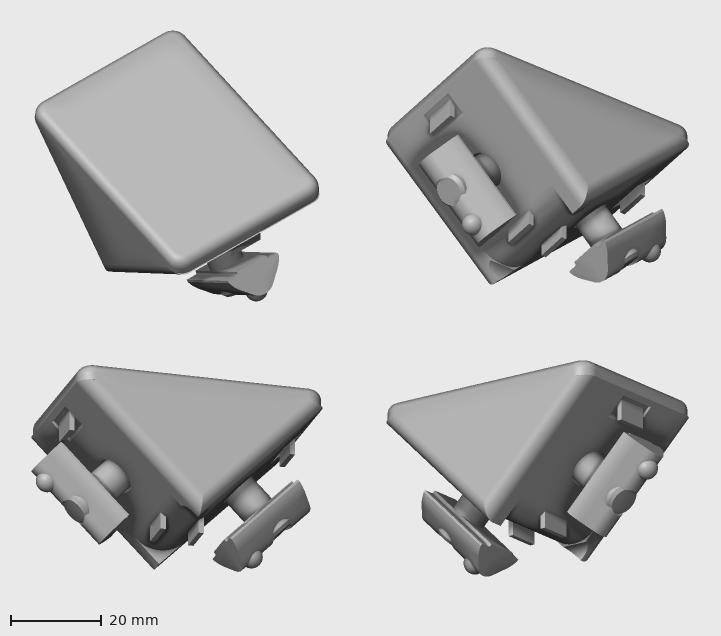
import cadquery as cq
import math

leg_length = 40.0
bracket_width = 40.0
half_span = leg_length / math.sqrt(2)
apex_half_width = 19.75
edge_radius = 3.0

apex_radius = 7.9
rib_inner_y = 13.7
relief_radius = 2.4
relief_center_z = -27.6

lug_width = 8.0
lug_thickness = 1.2
outer_lug_x = 25.35
outer_lug_bottom = -6.1
inner_lug_x = 4.35
inner_lug_bottom = -27.05
lug_root = 2.0

recess_width = 10.1
recess_x_inner = 23.1
recess_x_outer = 27.2
recess_depth_z = 0.9

cap_length = 56.0
cap_height = 4.0
cap_corner_radius = 3.5
cap_edge_radius = 2.2

screw_diameter = 8.0
screw_depth = screw_diameter
clearance_diameter = 9.0
screw_chamfer = 0.75
screw_end = 13.35

nut_end_near = 9.0
nut_end_far = 13.0
nut_crest = 14.035
nut_crest_radius = 3.75
nut_half_width = 6.75
nut_flank_half_width = 5.07
nut_side_end = 7.95
nut_shoulder = 7.4
nut_ridge_top = 6.6
nut_ridge_half_width = 4.0
nut_ridge_root_radius = 0.4

ball_diameter = 5.0
ball_offset = 9.0
ball_depth = 13.2

left_leg = cq.Plane(
    origin=(-half_span / 2, 0, -half_span / 2),
    xDir=(1, 0, -1),
    normal=(-1, 0, -1),
)
right_leg = cq.Plane(
    origin=(half_span / 2, 0, -half_span / 2),
    xDir=(1, 0, 1),
    normal=(1, 0, -1),
)
leg_frames = [left_leg, right_leg]


def make_cap():
    """Flat lid with rounded corners and a rounded upper edge."""
    lid = cq.Workplane("XY").rect(cap_length, bracket_width).extrude(cap_height)
    return lid.edges("|Z").fillet(cap_corner_radius).faces(">Z").edges().fillet(cap_edge_radius)


def make_wedge():
    """Triangular block with slightly drafted sides and rounded leg edges."""
    triangle = (
        cq.Workplane("XZ")
        .polyline([(-half_span, 0), (half_span, 0), (0, -half_span)])
        .close()
        .extrude(bracket_width / 2, both=True)
    )
    drafted_sides = (
        cq.Workplane("YZ")
        .polyline(
            [
                (-bracket_width / 2, 0),
                (bracket_width / 2, 0),
                (apex_half_width, -half_span),
                (-apex_half_width, -half_span),
            ]
        )
        .close()
        .extrude(half_span, both=True)
    )
    wedge = triangle.intersect(drafted_sides)
    side_edges = wedge.faces("<Y or >Y").edges("not(|X)")
    return wedge.newObject(side_edges.vals()).fillet(edge_radius)


def make_apex_cut():
    """Space to remove so that the apex is round between the ribs."""
    axis_z = apex_radius * math.sqrt(2) - half_span
    half_chord = apex_radius / math.sqrt(2)
    block = (
        cq.Workplane("XY")
        .workplane(offset=axis_z - half_chord)
        .rect(2 * half_chord, 2 * rib_inner_y)
        .extrude(-half_span)
    )
    roller = cq.Workplane("XZ").center(0, axis_z).circle(apex_radius).extrude(bracket_width, both=True)
    relief = (
        cq.Workplane("YZ")
        .center(rib_inner_y, relief_center_z)
        .circle(relief_radius)
        .extrude(half_span, both=True)
    )
    return block.cut(roller).union(relief)


def make_recess(side):
    """Pocket around an outer lug: vertical walls, floor parallel to the leg."""
    profile = [
        (side * recess_x_inner, recess_x_inner - half_span + recess_depth_z),
        (side * recess_x_outer, recess_x_outer - half_span + recess_depth_z),
        (side * recess_x_outer, -half_span),
        (side * recess_x_inner, -half_span),
    ]
    return cq.Workplane("XZ").polyline(profile).close().extrude(recess_width / 2, both=True)


def make_lug(x, bottom):
    """Thin upright plate from inside the leg down to its lower end."""
    top = abs(x) - half_span + lug_root
    return (
        cq.Workplane("XY")
        .workplane(offset=bottom)
        .center(x, 0)
        .rect(lug_thickness, lug_width)
        .extrude(top - bottom)
    )


def make_screw(frame):
    """Plain shank that starts inside the leg and ends in a chamfer inside the nut."""
    return (
        cq.Workplane(frame)
        .workplane(offset=-screw_depth)
        .circle(screw_diameter / 2)
        .extrude(screw_depth + screw_end)
        .faces(cq.selectors.DirectionMinMaxSelector(frame.zDir, True))
        .chamfer(screw_chamfer)
    )


def make_ball(frame):
    """Spring ball that stands out of the crest of the nut."""
    center = frame.toWorldCoords((ball_offset, 0, ball_depth))
    return cq.Workplane("XY").sphere(ball_diameter / 2).translate(center)


def make_nut(frame, screw, ball):
    """T-slot nut: ridge, straight shoulder, curved sides, 45 degree flanks and a round crest."""
    half_chord = nut_crest_radius / math.sqrt(2)
    crest_edge = nut_crest - nut_crest_radius + half_chord
    flank_start = crest_edge - (nut_flank_half_width - half_chord)
    section_plane = cq.Plane(
        origin=frame.toWorldCoords((-nut_end_near, 0, 0)),
        xDir=frame.yDir,
        normal=frame.xDir,
    )
    half_crest_angle = math.radians(45 / 2)
    crest_arc_middle = (
        nut_crest_radius * math.sin(half_crest_angle),
        nut_crest - nut_crest_radius + nut_crest_radius * math.cos(half_crest_angle),
    )
    body = (
        cq.Workplane(section_plane)
        .moveTo(0, nut_crest)
        .threePointArc(crest_arc_middle, (half_chord, crest_edge))
        .lineTo(nut_flank_half_width, flank_start)
        .tangentArcPoint((nut_half_width, nut_side_end), relative=False)
        .lineTo(nut_half_width, nut_shoulder)
        .lineTo(nut_ridge_half_width + nut_ridge_root_radius, nut_shoulder)
        .tangentArcPoint((-nut_ridge_root_radius, -nut_ridge_root_radius))
        .lineTo(nut_ridge_half_width, nut_ridge_top)
        .lineTo(0, nut_ridge_top)
        .mirrorY()
        .extrude(nut_end_near + nut_end_far)
    )
    core_diameter = screw_diameter - 2 * screw_chamfer
    hole = cq.Workplane(frame).circle(core_diameter / 2).extrude(2 * nut_crest)
    return body.cut(hole).cut(screw).cut(ball)


def make_bracket():
    """Wedge with round apex, recesses, lugs and a clearance hole for each screw."""
    body = make_wedge().cut(make_apex_cut())
    for side in (-1, 1):
        body = body.cut(make_recess(side))
        body = body.union(make_lug(side * outer_lug_x, outer_lug_bottom))
        body = body.union(make_lug(side * inner_lug_x, inner_lug_bottom))
    for frame in leg_frames:
        hole = cq.Workplane(frame).circle(clearance_diameter / 2).extrude(-screw_depth)
        body = body.cut(hole)
    return body


cap = make_cap()
screws = [make_screw(frame) for frame in leg_frames]
balls = [make_ball(frame) for frame in leg_frames]
nuts = [make_nut(frame, screw, ball) for frame, screw, ball in zip(leg_frames, screws, balls)]
bracket = make_bracket()

bodies = [bracket, cap, *screws, *nuts, *balls]
result = cq.Compound.makeCompound([body.val() for body in bodies])